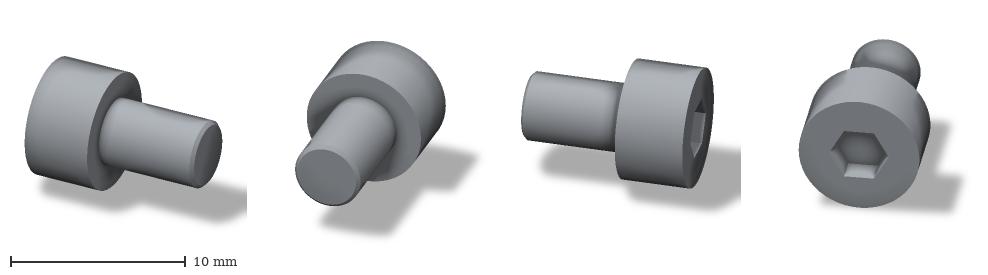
import cadquery as cq
import math

head_diameter = 7
head_length = 4
shank_diameter = 4
shank_length = 6
tip_chamfer = 0.2
socket_across_flats = 3
socket_depth = 1.5

socket_across_corners = socket_across_flats / math.cos(math.radians(30))

head = cq.Workplane("YZ").circle(head_diameter / 2).extrude(head_length)
shank = (
    cq.Workplane("YZ", origin=(head_length, 0, 0))
    .circle(shank_diameter / 2)
    .extrude(shank_length)
    .faces(">X")
    .chamfer(tip_chamfer)
)

socket = cq.Workplane("YZ").polygon(6, socket_across_corners).extrude(socket_depth)

result = head.union(shank).cut(socket)